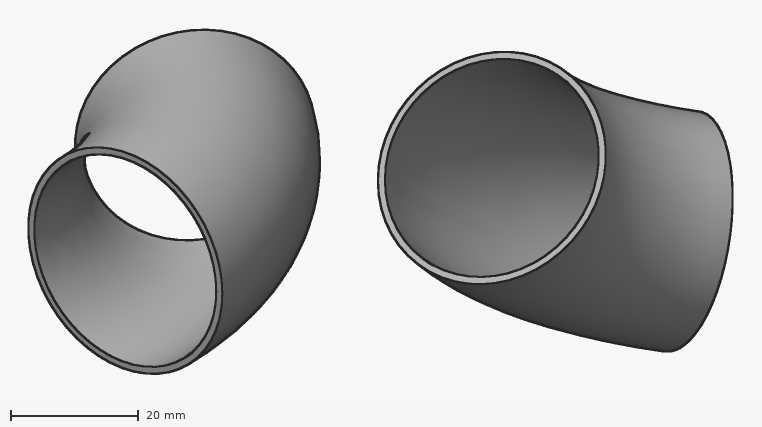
import cadquery as cq
import math

outer_diameter = 38.1
inner_diameter = 35.7
bend_angle = 45.0
overall_length = 54.1

outside_bend_radius = overall_length / math.sin(math.radians(bend_angle))
bend_radius = outside_bend_radius - outer_diameter / 2

result = (
    cq.Workplane("XZ")
    .circle(outer_diameter / 2)
    .circle(inner_diameter / 2)
    .revolve(bend_angle, (-bend_radius, 0, 0), (-bend_radius, 1, 0))
)